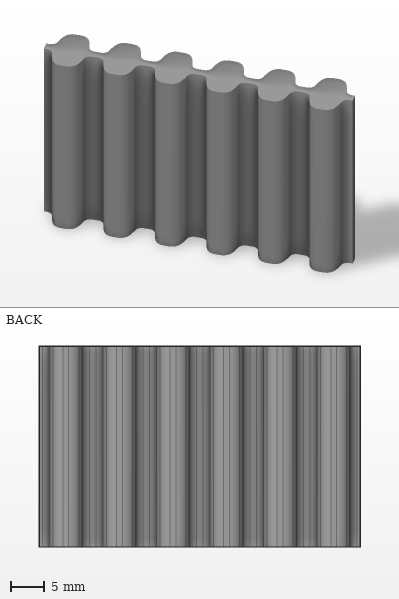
import cadquery as cq
import math

pitch = 8.0
tooth_count = 6
belt_width = 30.0
overall_thickness = 8.18
web_thickness = 1.372

tip_flat_half_width = 0.43
tip_radius = 1.67
tip_end_slope = math.radians(65.5)
flank_radius = 7.3
flank_end_slope = math.radians(78.5)

belt_length = tooth_count * pitch
tip_y = overall_thickness / 2
web_y = web_thickness / 2

tip_drop = tip_radius * (1 - math.cos(tip_end_slope))
flank_drop = flank_radius * (math.cos(tip_end_slope) - math.cos(flank_end_slope))
root_drop = tip_y - web_y - tip_drop - flank_drop
root_radius = root_drop / (1 - math.cos(flank_end_slope))


def point_on_arc(center, radius, slope):
    """Point reached by going radius from center along the normal of a surface falling at slope."""
    return (center[0] + radius * math.sin(slope), center[1] + radius * math.cos(slope))


def half_tooth_points():
    """Ends and midpoints of the tip, flank and root arcs, ordered from tip to web, for x > 0."""
    tip_center = (tip_flat_half_width, tip_y - tip_radius)
    flank_center = point_on_arc(tip_center, tip_radius - flank_radius, tip_end_slope)
    root_center = point_on_arc(flank_center, flank_radius + root_radius, flank_end_slope)
    flank_mid_slope = (tip_end_slope + flank_end_slope) / 2
    return [
        point_on_arc(tip_center, tip_radius, 0),
        point_on_arc(tip_center, tip_radius, tip_end_slope / 2),
        point_on_arc(tip_center, tip_radius, tip_end_slope),
        point_on_arc(flank_center, flank_radius, flank_mid_slope),
        point_on_arc(flank_center, flank_radius, flank_end_slope),
        point_on_arc(root_center, -root_radius, flank_end_slope / 2),
        point_on_arc(root_center, -root_radius, 0),
    ]


def add_arcs(outline, points):
    """Add three-point arcs through points that alternate between arc ends and arc midpoints."""
    for middle, end in zip(points[1::2], points[2::2]):
        outline = outline.threePointArc(middle, end)
    return outline


def add_tooth(outline, center_x, side):
    """Add one tooth; side +1 is the +Y face drawn toward +X, side -1 the -Y face drawn toward -X."""
    half = half_tooth_points()
    falling = [(center_x + side * x, side * y) for x, y in half]
    rising = [(center_x - side * x, side * y) for x, y in reversed(half)]
    outline = add_arcs(outline.lineTo(*rising[0]), rising)
    return add_arcs(outline.lineTo(*falling[0]), falling)


def belt_outline():
    """Closed belt profile, clockwise from the upper left end of the web."""
    half_length = belt_length / 2
    centers = [(i + 0.5) * pitch - half_length for i in range(tooth_count)]
    outline = cq.Workplane("XY").moveTo(-half_length, web_y)
    for center_x in centers:
        outline = add_tooth(outline, center_x, 1)
    outline = outline.lineTo(half_length, web_y).lineTo(half_length, -web_y)
    for center_x in reversed(centers):
        outline = add_tooth(outline, center_x, -1)
    return outline.lineTo(-half_length, -web_y).close()


result = belt_outline().extrude(belt_width)